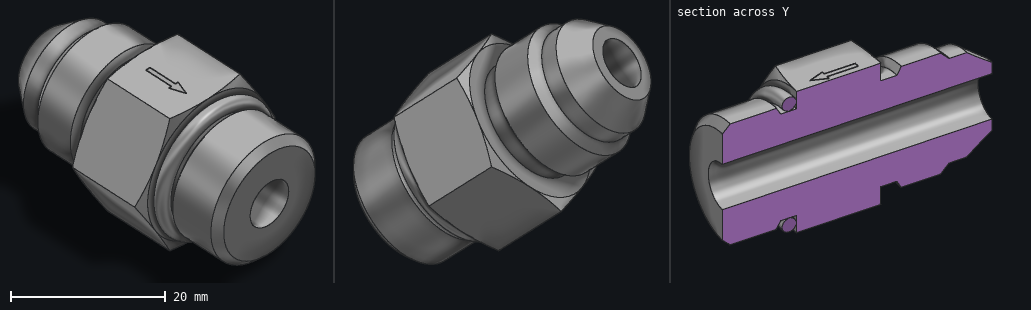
import cadquery as cq
import math


TOTAL_LENGTH = 40.55
ACROSS_FLATS = 22.2
BORE_DIAMETER = 7.05

NOSE_TIP_DIAMETER = 10.75
NOSE_DIAMETER = 16.5
NOSE_CONE_ANGLE = 37.0

THREAD_DIAMETER = 19.05
NOSE_THREAD_START = 6.45
NOSE_THREAD_END = 14.3
PORT_THREAD_START = 31.75
THREAD_RUNOUT = 0.65

NECK_DIAMETER = 16.7
GROOVE_DIAMETER = 16.82

HEX_START = 16.7
HEX_END = 29.4
HEX_CHAMFER_LENGTH = 0.65

RING_SECTION_DIAMETER = 2.2

ARROW_TAIL_X = 19.6
ARROW_TIP_X = 26.6
ARROW_CENTRE_Y = -1.25
ARROW_SHAFT_WIDTH = 0.73
ARROW_HEAD_LENGTH = 2.35
ARROW_HEAD_WIDTH = 1.7
ARROW_DEPTH = 0.1

NOSE_TIP_RADIUS = NOSE_TIP_DIAMETER / 2
NOSE_RADIUS = NOSE_DIAMETER / 2
THREAD_RADIUS = THREAD_DIAMETER / 2
NECK_RADIUS = NECK_DIAMETER / 2
GROOVE_RADIUS = GROOVE_DIAMETER / 2
CORNER_RADIUS = ACROSS_FLATS / 2 / math.cos(math.radians(30))
NOSE_CONE_LENGTH = (NOSE_RADIUS - NOSE_TIP_RADIUS) / math.tan(math.radians(NOSE_CONE_ANGLE))
NOSE_CHAMFER = THREAD_RADIUS - NOSE_RADIUS
PORT_CHAMFER = THREAD_RADIUS - NECK_RADIUS


def revolve_about_x(outline):
    """Revolve a closed (x, radius) outline a full turn about the X axis."""
    return cq.Workplane("XY").polyline(outline).close().revolve(360, (0, 0, 0), (1, 0, 0))


def make_turned_body():
    """Nose, both threaded lengths, neck and groove, as one turned shape."""
    return revolve_about_x([
        (0, 0),
        (0, NOSE_TIP_RADIUS),
        (NOSE_CONE_LENGTH, NOSE_RADIUS),
        (NOSE_THREAD_START, NOSE_RADIUS),
        (NOSE_THREAD_START + NOSE_CHAMFER, THREAD_RADIUS),
        (NOSE_THREAD_END - THREAD_RUNOUT, THREAD_RADIUS),
        (NOSE_THREAD_END, NECK_RADIUS),
        (HEX_START, NECK_RADIUS),
        (HEX_END, GROOVE_RADIUS),
        (PORT_THREAD_START, GROOVE_RADIUS),
        (PORT_THREAD_START + THREAD_RUNOUT, THREAD_RADIUS),
        (TOTAL_LENGTH - PORT_CHAMFER, THREAD_RADIUS),
        (TOTAL_LENGTH, THREAD_RADIUS - PORT_CHAMFER),
        (TOTAL_LENGTH, 0),
    ])


def make_hexagon():
    """Hexagon with flats at the top and bottom and its corners chamfered at both ends."""
    prism = (
        cq.Workplane("YZ")
        .workplane(offset=HEX_START)
        .polygon(6, 2 * CORNER_RADIUS)
        .extrude(HEX_END - HEX_START)
    )
    chamfer_envelope = revolve_about_x([
        (HEX_START, 0),
        (HEX_START, ACROSS_FLATS / 2),
        (HEX_START + HEX_CHAMFER_LENGTH, CORNER_RADIUS),
        (HEX_END - HEX_CHAMFER_LENGTH, CORNER_RADIUS),
        (HEX_END, ACROSS_FLATS / 2),
        (HEX_END, 0),
    ])
    return prism.intersect(chamfer_envelope)


def make_flow_arrow():
    """Arrow pointing along +X, reaching ARROW_DEPTH below the top flat."""
    head_x = ARROW_TIP_X - ARROW_HEAD_LENGTH
    half_shaft = ARROW_SHAFT_WIDTH / 2
    half_head = ARROW_HEAD_WIDTH / 2
    return (
        cq.Workplane("XY", origin=(0, ARROW_CENTRE_Y, ACROSS_FLATS / 2))
        .polyline([
            (ARROW_TAIL_X, -half_shaft),
            (head_x, -half_shaft),
            (head_x, -half_head),
            (ARROW_TIP_X, 0),
            (head_x, half_head),
            (head_x, half_shaft),
            (ARROW_TAIL_X, half_shaft),
        ])
        .close()
        .extrude(-ARROW_DEPTH)
    )


def make_fitting():
    """Complete fitting: turned body and hexagon, bored through, with the flow arrow."""
    bore = cq.Workplane("YZ").circle(BORE_DIAMETER / 2).extrude(TOTAL_LENGTH)
    return make_turned_body().union(make_hexagon()).cut(bore).cut(make_flow_arrow())


def make_o_ring():
    """Round-section ring touching the groove floor and the hexagon's end face."""
    section_radius = RING_SECTION_DIAMETER / 2
    ring_radius = GROOVE_RADIUS + section_radius
    section = cq.Workplane("XY", origin=(HEX_END + section_radius, ring_radius, 0)).circle(section_radius)
    return section.revolve(360, (0, -ring_radius, 0), (1, -ring_radius, 0))


fitting = make_fitting()
o_ring = make_o_ring()

result = cq.Compound.makeCompound([fitting.val(), o_ring.val()])